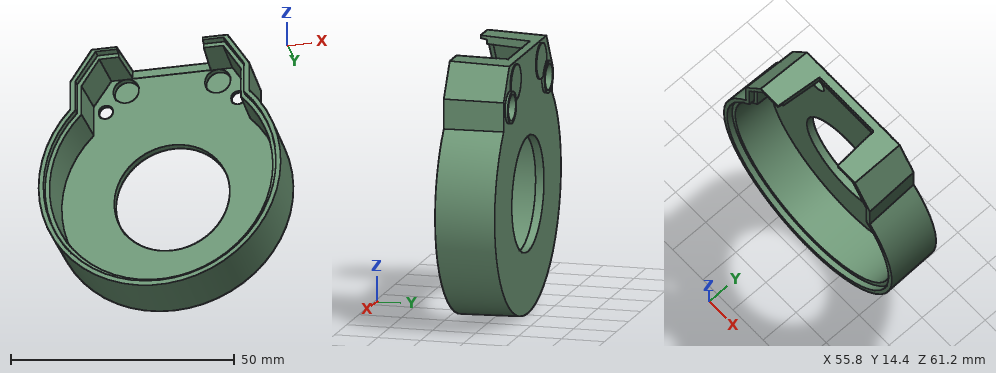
import math

import cadquery as cq

body_depth = 13.8
lip_depth = 1.5
floor_depth = 11.85

outer_front = (27.9, 20.6, 25.7, 15.64, 33.31)
outer_back = (27.54, 20.05, 25.58, 15.4, 32.9)
lip_front = (26.8, 19.4, 25.7, 14.75, 32.7)
lip_back = (26.75, 19.35, 25.65, 14.65, 32.4)
cavity_front = (25.78, 18.4, 25.2, 14.3, 31.5)
cavity_back = (25.38, 18.0, 25.1, 13.95, 31.1)

notch_depth = 11.74
notch_front_half_width = 9.9
notch_back_half_width = 8.95
notch_bottom = cavity_back[-1]

center_bore_radius = 13.3

screw_x = 15.25
screw_z = 23.45
screw_hole_radius = 1.65
screw_pad_radius = 3.65
screw_pad_height = 0.6
countersink_radius = 3.0
countersink_angle = 80

pocket_x = 10.54
pocket_z = 28.15
pocket_radius = 2.95
pocket_bottom_depth = 13.4
pocket_pad_radius = 4.1
pocket_pad_height = 0.25


def plane_at(depth):
    """Plane across the body at a depth; its local y is Z and it extrudes toward +Y."""
    return cq.Plane(origin=(0, depth, 0), xDir=(-1, 0, 0), normal=(0, 1, 0))


def section_wire(section, depth):
    """Round outline with a flat-topped, sloped head, drawn at a depth."""
    radius, side_x, slope_z, top_x, top_z = section
    neck_z = math.sqrt(radius**2 - side_x**2)
    outline = (
        cq.Workplane(plane_at(depth))
        .moveTo(side_x, neck_z)
        .lineTo(side_x, slope_z)
        .lineTo(top_x, top_z)
        .lineTo(-top_x, top_z)
        .lineTo(-side_x, slope_z)
        .lineTo(-side_x, neck_z)
        .threePointArc((0, -radius), (side_x, neck_z))
        .close()
    )
    return outline.val()


def tapered_body(front_section, back_section, front_depth, back_depth):
    wires = [section_wire(front_section, front_depth), section_wire(back_section, back_depth)]
    return cq.Workplane(cq.Solid.makeLoft(wires, True))


def mirrored_discs(x, z, radius, start_depth, end_depth):
    return (
        cq.Workplane(plane_at(start_depth))
        .pushPoints([(-x, z), (x, z)])
        .circle(radius)
        .extrude(end_depth - start_depth)
    )


def housing():
    shell = tapered_body(outer_front, outer_back, 0, body_depth)
    cavity = tapered_body(cavity_front, cavity_back, 0, floor_depth)
    lip_recess = tapered_body(lip_front, lip_back, 0, lip_depth)
    return shell.cut(cavity).cut(lip_recess)


def notch():
    """Wedge that opens the top wall down to the cavity, from the front face back."""
    return (
        cq.Workplane("XY", origin=(0, 0, notch_bottom))
        .polyline([
            (-notch_front_half_width, 0),
            (notch_front_half_width, 0),
            (notch_back_half_width, notch_depth),
            (-notch_back_half_width, notch_depth),
        ])
        .close()
        .extrude(outer_front[-1] - notch_bottom)
    )


def center_bore():
    return cq.Workplane(plane_at(0)).circle(center_bore_radius).extrude(body_depth)


def countersinks(face_depth):
    """Cones that narrow from the pad faces down to the screw holes."""
    cone_height = (countersink_radius - screw_hole_radius) / math.tan(math.radians(countersink_angle / 2))
    cones = cq.Workplane()
    for x in (-screw_x, screw_x):
        cones.add(
            cq.Solid.makeCone(
                screw_hole_radius,
                countersink_radius,
                cone_height,
                pnt=cq.Vector(x, face_depth - cone_height, screw_z),
                dir=cq.Vector(0, 1, 0),
            )
        )
    return cones.combine()


screw_pad_face = body_depth + screw_pad_height
pocket_pad_face = body_depth + pocket_pad_height
screw_pads = mirrored_discs(screw_x, screw_z, screw_pad_radius, floor_depth, screw_pad_face)
pocket_pads = mirrored_discs(pocket_x, pocket_z, pocket_pad_radius, floor_depth, pocket_pad_face)
screw_holes = mirrored_discs(screw_x, screw_z, screw_hole_radius, floor_depth, screw_pad_face)
pockets = mirrored_discs(pocket_x, pocket_z, pocket_radius, floor_depth, pocket_bottom_depth)

result = (
    housing()
    .union(screw_pads)
    .union(pocket_pads)
    .cut(notch())
    .cut(center_bore())
    .cut(screw_holes)
    .cut(countersinks(screw_pad_face))
    .cut(pockets)
)